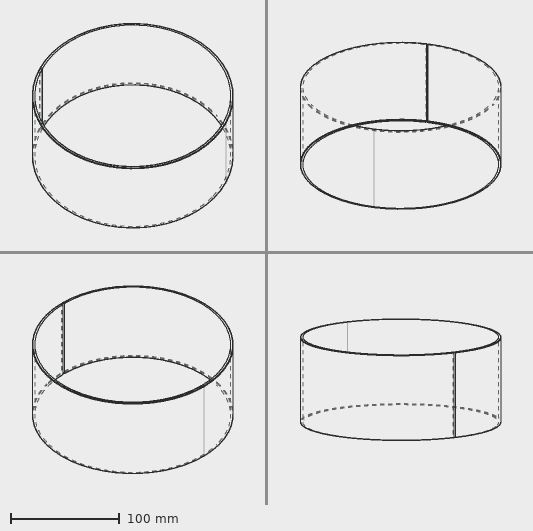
import cadquery as cq

outer_diameter = 185.0
wall = 2.4
height = 80.0
slit_width = 1.5
rim_chamfer = 0.5

outer_radius = outer_diameter / 2

ring = (
    cq.Workplane("XY")
    .circle(outer_radius)
    .circle(outer_radius - wall)
    .extrude(height)
    .faces("%CYLINDER").edges(cq.selectors.RadiusNthSelector(-1))
    .chamfer(rim_chamfer)
)

slit = (
    cq.Workplane("XY")
    .box(outer_diameter, slit_width, height, centered=(True, False, False))
    .translate((-outer_radius, 0, 0))
)

result = ring.cut(slit)